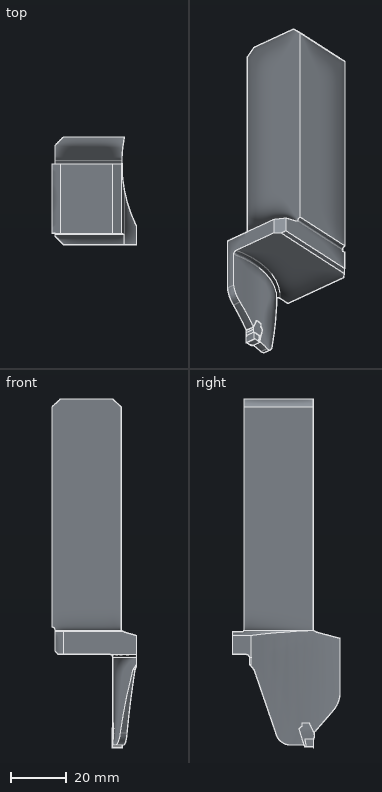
import cadquery as cq
import math

shank_side = 25.0
total_height = 125.6
top_bevel_x = 3.1
top_bevel_z = 2.9
undercut_radius = 1.1

flange_x_min = undercut_radius
flange_x_max = 30.5
flange_y_min = -4.1
flange_y_max = 34.7
flange_corner = 3.0
flange_bottom = 33.7
flange_bottom_bevel = 1.1
flange_top = 42.3
root_step = 1.1
root_top = 41.7
side_top = 40.5
back_top = 39.5
front_top = 41.8
front_step = 0.4

cutting_y = 25.1
blade_x_min = 21.9
blade_thickness = 3.4
blade_x_max = blade_x_min + blade_thickness
inner_radius = 35.2
outer_radius = 51.1
blade_bottom = 1.0
blade_front_y = 1.5
root_fillet = 1.1

heel_start_z = 19.2
heel_arc_middle = (33.8, 16.0)
heel_arc_end = (31.9, 13.0)
heel_foot = (24.4, 4.4)
nose_start_y = 16.2
nose_arc_middle = (13.2, 2.4)
nose_arc_end = (11.4, 5.4)
front_edge_top = (3.6, 28.1)
front_bevel_top_z = 30.6

insert_proud = 0.1
head_top = 3.1
head_overhang = 0.3
head_bottom = 0.4
nib_width = 0.3
head_back_top_y = 22.0
head_back_bottom_y = 22.5
body_back_bottom_y = 21.9
seat_outline = [
    (25.5, 4.1),
    (25.4, 5.1),
    (23.5, 9.0),
    (20.8, 9.0),
    (20.8, 7.8),
    (19.8, 6.9),
    (20.3, 5.1),
]


def arc_x(y, x_min, radius):
    """X on an arc of the given radius whose lowest X lies at the cutting edge."""
    return x_min + radius - math.sqrt(radius**2 - (y - cutting_y) ** 2)


def arc_point(y, x_min, radius):
    return (arc_x(y, x_min, radius), y)


def arc_end_y(x, x_min, radius):
    """Y on the -Y side where the arc reaches the given X."""
    return cutting_y - math.sqrt(radius**2 - (x_min + radius - x) ** 2)


def along_x(points_yz, x_min, x_max):
    """Prism along X from an outline in the YZ plane."""
    return cq.Workplane("YZ", origin=(x_min, 0, 0)).polyline(points_yz).close().extrude(x_max - x_min)


def along_y(points_xz, y_min, y_max):
    """Prism along Y from an outline in the XZ plane."""
    return cq.Workplane("XZ", origin=(0, y_max, 0)).polyline(points_xz).close().extrude(y_max - y_min)


def make_shank():
    diagonal = undercut_radius * math.sqrt(0.5)
    return (
        cq.Workplane("XZ", origin=(0, shank_side, 0))
        .moveTo(undercut_radius, flange_top)
        .threePointArc((diagonal, flange_top + diagonal), (0, flange_top + undercut_radius))
        .lineTo(0, total_height - top_bevel_z)
        .lineTo(top_bevel_x, total_height)
        .lineTo(shank_side - top_bevel_x, total_height)
        .lineTo(shank_side, total_height - top_bevel_z)
        .lineTo(shank_side, flange_bottom)
        .lineTo(undercut_radius + flange_bottom_bevel, flange_bottom)
        .lineTo(undercut_radius, flange_bottom + flange_bottom_bevel)
        .close()
        .extrude(shank_side)
    )


def make_flange():
    outer_end_y = arc_end_y(flange_x_max, blade_x_max, outer_radius)
    plan = (
        cq.Workplane("XY", origin=(0, 0, flange_bottom))
        .moveTo(flange_x_min + flange_corner, flange_y_min)
        .lineTo(flange_x_max, flange_y_min)
        .lineTo(flange_x_max, outer_end_y)
        .threePointArc((blade_x_max, cutting_y), arc_point(flange_y_max, blade_x_max, outer_radius))
        .lineTo(flange_x_min + flange_corner, flange_y_max)
        .lineTo(flange_x_min, flange_y_max - flange_corner)
        .lineTo(flange_x_min, flange_y_min + flange_corner)
        .close()
        .extrude(flange_top - flange_bottom)
    )
    side_profile = along_y(
        [
            (flange_x_min, flange_top),
            (shank_side, flange_top),
            (shank_side + root_step, root_top),
            (flange_x_max, side_top),
            (flange_x_max, flange_bottom),
            (flange_x_min + flange_bottom_bevel, flange_bottom),
            (flange_x_min, flange_bottom + flange_bottom_bevel),
        ],
        flange_y_min,
        flange_y_max,
    )
    end_profile = along_x(
        [
            (flange_y_min, flange_bottom),
            (flange_y_min, front_top),
            (-front_step, front_top),
            (0, flange_top),
            (shank_side, flange_top),
            (shank_side + root_step, root_top),
            (flange_y_max, back_top),
            (flange_y_max, flange_bottom),
        ],
        flange_x_min,
        flange_x_max,
    )
    return plan.intersect(side_profile).intersect(end_profile)


def make_blade_plan(offset, bottom, height):
    """Curved slab between the two blade arcs; offset grows it toward -X."""
    x_min = blade_x_min - offset
    radius = inner_radius + offset
    inner_end_y = arc_end_y(flange_x_max, x_min, radius)
    outer_end_y = arc_end_y(flange_x_max, blade_x_max, outer_radius)
    return (
        cq.Workplane("XY", origin=(0, 0, bottom))
        .moveTo(flange_x_max, inner_end_y)
        .threePointArc((x_min, cutting_y), arc_point(flange_y_max, x_min, radius))
        .lineTo(*arc_point(flange_y_max, blade_x_max, outer_radius))
        .threePointArc((blade_x_max, cutting_y), (flange_x_max, outer_end_y))
        .close()
        .extrude(height)
    )


def make_blade():
    side_outline = (
        cq.Workplane("YZ")
        .moveTo(flange_y_max, flange_bottom)
        .lineTo(flange_y_max, heel_start_z)
        .threePointArc(heel_arc_middle, heel_arc_end)
        .lineTo(*heel_foot)
        .lineTo(heel_foot[0], blade_bottom)
        .lineTo(nose_start_y, blade_bottom)
        .threePointArc(nose_arc_middle, nose_arc_end)
        .lineTo(*front_edge_top)
        .lineTo(blade_front_y, front_bevel_top_z)
        .lineTo(blade_front_y, flange_bottom)
        .close()
        .extrude(flange_x_max)
    )
    return make_blade_plan(0, 0, flange_bottom).intersect(side_outline)


def make_holder():
    """Shank, flange and blade in one piece, with the blade root rounded into the flange."""
    holder = make_shank().union(make_flange()).union(make_blade())
    middle_y = (blade_front_y + flange_y_max) / 2
    root_middle = (arc_x(middle_y, blade_x_min, inner_radius), middle_y, flange_bottom)
    root_edge = cq.selectors.NearestToPointSelector(root_middle)
    return holder.edges("%CIRCLE").edges(root_edge).fillet(root_fillet)


def make_insert():
    body_outline = along_x(
        [
            (cutting_y, head_top),
            *seat_outline,
            (body_back_bottom_y, head_bottom),
            (cutting_y, head_bottom),
        ],
        0,
        flange_x_max,
    )
    body = make_blade_plan(insert_proud, 0, flange_bottom).intersect(body_outline)
    head = along_x(
        [
            (cutting_y, head_top),
            (cutting_y, 0),
            (cutting_y - nib_width, head_bottom),
            (head_back_bottom_y, head_bottom),
            (head_back_top_y, head_top),
        ],
        blade_x_min - head_overhang,
        blade_x_max + head_overhang,
    )
    return body.union(head)


insert = make_insert()
holder = make_holder().cut(insert)
result = cq.Compound.makeCompound([holder.val(), insert.val()])